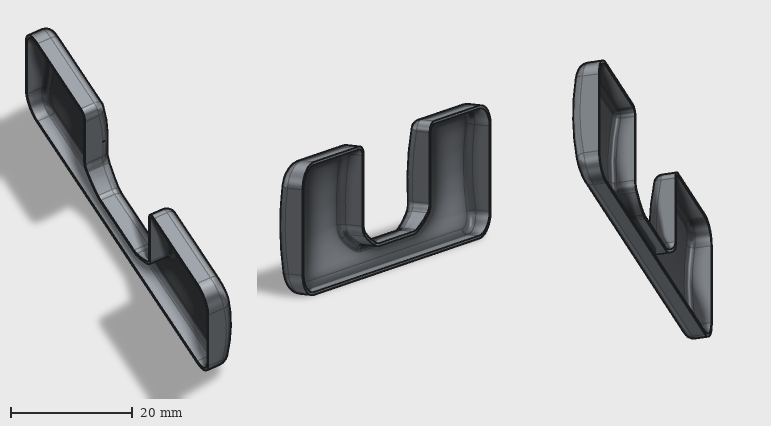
import cadquery as cq

length = 63.2
depth = 4.85
height = 22.3
wall = 0.5

crown_radius = 50.55
crown_crest_z = 0.65
back_fillet = 1.6

corner_radius = 4.0
notch_mouth_radius = 1.65
notch_shoulder_radius = 1.9
notch_floor_radius = 2.5

notch_half_width = 11.0
notch_shoulder_z = -3.2
notch_floor_z = -6.2
notch_floor_half_width = 6.2
flank_mid_x = 8.9
flank_mid_z = -4.85

half_length = length / 2
half_height = height / 2


def round_upright_edges(body, x, z, radius):
    """Round the pair of Y-parallel edges at (+x, z) and (-x, z)."""
    reach = 0.05
    for side in (-1, 1):
        corner = cq.selectors.BoxSelector(
            (side * x - reach, -reach, z - reach),
            (side * x + reach, depth + reach, z + reach),
        )
        body = body.edges("|Y").edges(corner).fillet(radius)
    return body


def plate():
    """Flat blank with the notched, rounded outline."""
    blank = (
        cq.Workplane("XZ")
        .moveTo(-half_length, -half_height)
        .lineTo(half_length, -half_height)
        .lineTo(half_length, half_height)
        .lineTo(notch_half_width, half_height)
        .lineTo(notch_half_width, notch_shoulder_z)
        .threePointArc((flank_mid_x, flank_mid_z), (notch_floor_half_width, notch_floor_z))
        .lineTo(-notch_floor_half_width, notch_floor_z)
        .threePointArc((-flank_mid_x, flank_mid_z), (-notch_half_width, notch_shoulder_z))
        .lineTo(-notch_half_width, half_height)
        .lineTo(-half_length, half_height)
        .close()
        .extrude(-depth)
    )
    blank = round_upright_edges(blank, half_length, half_height, corner_radius)
    blank = round_upright_edges(blank, half_length, -half_height, corner_radius)
    blank = round_upright_edges(blank, notch_half_width, half_height, notch_mouth_radius)
    blank = round_upright_edges(blank, notch_half_width, notch_shoulder_z, notch_shoulder_radius)
    return round_upright_edges(blank, notch_floor_half_width, notch_floor_z, notch_floor_radius)


def crown():
    """Cylinder along X whose +Y side forms the back surface."""
    return (
        cq.Workplane("YZ")
        .center(depth - crown_radius, crown_crest_z)
        .circle(crown_radius)
        .extrude(length, both=True)
    )


crowned_plate = plate().intersect(crown())
back_edges = crowned_plate.faces(">Y").edges()
rounded_cover = back_edges.fillet(back_fillet)
result = rounded_cover.faces("<Y").shell(-wall)